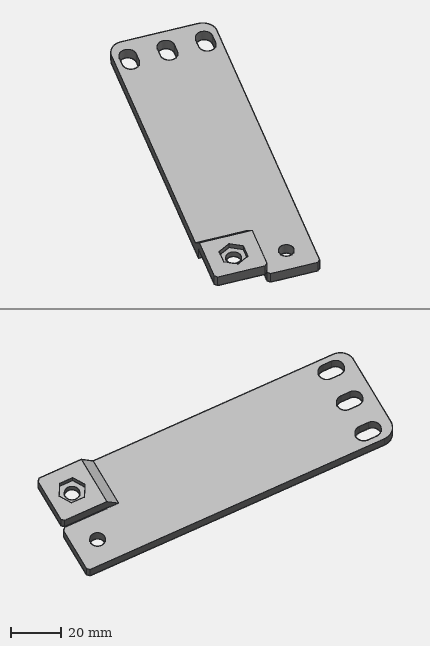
import cadquery as cq

length = 138.5
width = 44.0
thickness = 5.0
slotted_corner_radius = 6.0
tab_chamfer = 1.1

tab_gap = 0.3
raised_bottom = thickness + tab_gap
raised_top = raised_bottom + thickness
tab_root_x = 117.3
root_chamfer = 1.4
ramp_start_x = 113.3
ramp_end_x = ramp_start_x + raised_top - thickness

bolt_x = 128.4
bolt_y = width / 4
bolt_diameter = 6.2
nut_corner_diameter = 11.6
nut_pocket_depth = 2.2

slot_x = 10.1
slot_length = 11.0
slot_width = 7.0
slot_pitch = 15.9


def flat_plate():
    """Plate with the level tab on the +Y half."""
    plate = cq.Workplane("XY").box(length, width, thickness, centered=(False, True, False))
    plate = plate.edges("|Z and <X").fillet(slotted_corner_radius)
    cutout = (
        cq.Workplane("XY")
        .box(length - tab_root_x, width / 2, thickness, centered=False)
        .translate((tab_root_x, -width / 2, 0))
    )
    plate = plate.cut(cutout)
    inner_corner = cq.selectors.NearestToPointSelector((tab_root_x, 0, thickness / 2))
    plate = plate.edges("|Z").edges(inner_corner).chamfer(root_chamfer)
    return plate.edges("|Z and >X").chamfer(tab_chamfer)


def raised_tab():
    """Ramp and raised tab on the -Y half, resting on the plate up to the tab root."""
    tab = (
        cq.Workplane("XZ")
        .moveTo(ramp_start_x, thickness)
        .lineTo(ramp_end_x, raised_top)
        .lineTo(length, raised_top)
        .lineTo(length, raised_bottom)
        .lineTo(tab_root_x, raised_bottom)
        .lineTo(tab_root_x, thickness)
        .close()
        .extrude(width / 2)
    )
    return tab.edges("|Z and >X").chamfer(tab_chamfer)


bolt_holes = (
    cq.Workplane("XY")
    .pushPoints([(bolt_x, -bolt_y), (bolt_x, bolt_y)])
    .circle(bolt_diameter / 2)
    .extrude(raised_top)
)
nut_pocket = (
    cq.Workplane("XY", origin=(bolt_x, -bolt_y, raised_top))
    .polygon(6, nut_corner_diameter)
    .extrude(-nut_pocket_depth)
)
slots = (
    cq.Workplane("XY")
    .pushPoints([(slot_x, row * slot_pitch) for row in (-1, 0, 1)])
    .slot2D(slot_length, slot_width)
    .extrude(thickness)
)

result = flat_plate().union(raised_tab()).cut(bolt_holes).cut(nut_pocket).cut(slots)